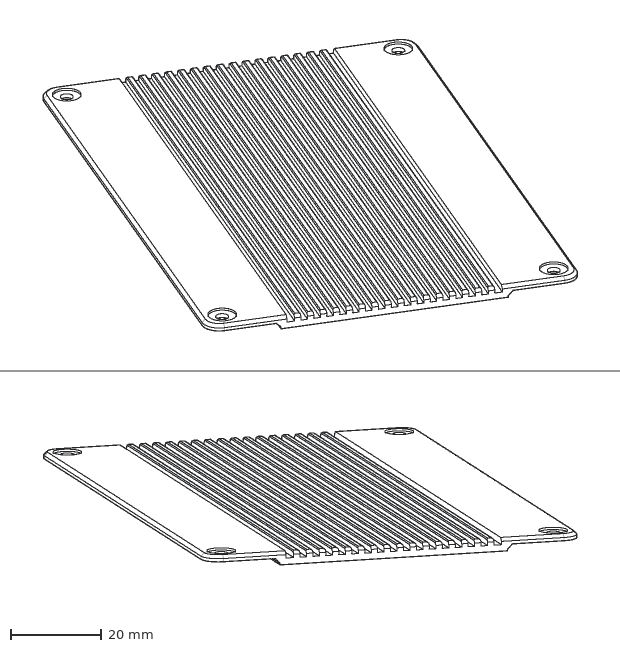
import cadquery as cq

length = 125.0
width = 87.0
total_height = 3.0
plate_thickness = 1.5
corner_radius = 4.0
edge_chamfer = 0.8

band_height = total_height - plate_thickness
band_width = 55.0
band_slope_height = 1.1

recess_width = 50.0
recess_depth = 1.5
rib_count = 16
rib_pitch = 3.0
rib_width = 1.5
rib_edge_chamfer = 0.2

hole_diameter = 2.9
counterbore_diameter = 6.4
counterbore_depth = 0.5
hole_inset = 5.0


def make_plate():
    """Rounded plate with its underside at Z = 0 and its top rim chamfered."""
    plate = cq.Workplane("XY").box(length, width, plate_thickness, centered=(True, True, False))
    plate = plate.edges("|Z").fillet(corner_radius)
    return plate.faces(">Z").edges().chamfer(edge_chamfer)


def make_band():
    """Full-length band below the plate, narrowing downward."""
    top = band_width / 2
    bottom = top - band_slope_height
    outline = [
        (-top, 0),
        (top, 0),
        (bottom, -band_slope_height),
        (bottom, -band_height),
        (-bottom, -band_height),
        (-bottom, -band_slope_height),
    ]
    return cq.Workplane("YZ").polyline(outline).close().extrude(length / 2, both=True)


def make_grooves():
    """Material removed between the ribs."""
    floor = plate_thickness - recess_depth
    recess = cq.Workplane("XY", origin=(0, 0, floor)).box(
        length, recess_width, recess_depth, centered=(True, True, False)
    )
    ribs = (
        cq.Workplane("XY", origin=(0, 0, floor))
        .rarray(length, rib_pitch, 1, rib_count)
        .rect(length, rib_width)
        .extrude(recess_depth)
        .edges("|X and >Z")
        .chamfer(rib_edge_chamfer)
    )
    return recess.cut(ribs)


def drill_corner_holes(body):
    """Counterbored through holes, one in each corner."""
    return (
        body.faces(">Z")
        .workplane(origin=(0, 0, plate_thickness))
        .rarray(length - 2 * hole_inset, width - 2 * hole_inset, 2, 2)
        .cboreHole(hole_diameter, counterbore_diameter, counterbore_depth)
    )


plate = drill_corner_holes(make_plate())
result = plate.union(make_band()).cut(make_grooves())